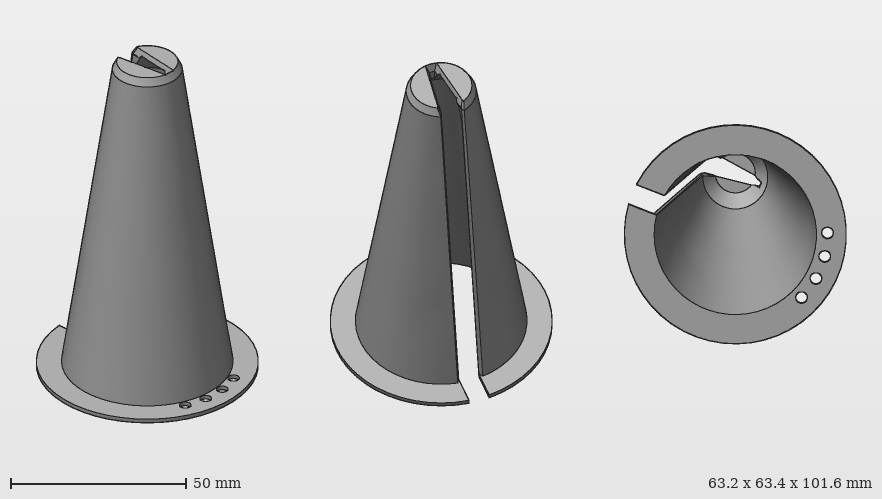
import cadquery as cq
import math

flange_radius = 31.685
flange_thickness = 1.27

total_height = 101.6
cone_base_radius = 24.5
shoulder_height = 99.25
shoulder_radius = 10.0
top_radius = 8.75
wall_thickness = 1.5

cavity_bend_height = 93.95
ceiling_height = total_height - wall_thickness
ceiling_radius = 5.7

slot_half_width = 3.05
mouth_half_width = 4.0
mouth_top_widening = 0.6

taper_start_x = -9.3
taper_end_x = 7.75
taper_end_half_width = 0.8
taper_bottom = cavity_bend_height
top_flare = 0.9

hole_diameter = 3.3
hole_circle_radius = 26.3
hole_pitch_angle = 15.0
hole_count = 4

clearance = 1.0
wall_slope = (cone_base_radius - shoulder_radius) / (shoulder_height - flange_thickness)
wall_run = wall_thickness * math.sqrt(1 + wall_slope**2)


def outer_radius(z):
    """Radius of the main cone's outside at height z."""
    return cone_base_radius - wall_slope * (z - flange_thickness)


def revolved(profile):
    """Solid of revolution about Z from (radius, z) points, with its seam on the slotted -X side."""
    solid = cq.Workplane("XZ").polyline(profile).close().revolve(360, (0, 0), (0, 1))
    return solid.rotate((0, 0, 0), (0, 0, 1), 180)


def lofted(bottom_points, bottom_z, top_points, top_z):
    """Straight-sided solid between two outlines of equal point count."""
    return (
        cq.Workplane("XY", origin=(0, 0, bottom_z))
        .polyline(bottom_points)
        .close()
        .workplane(offset=top_z - bottom_z)
        .polyline(top_points)
        .close()
        .loft(ruled=True)
    )


def make_body():
    return revolved([
        (0, 0),
        (flange_radius, 0),
        (flange_radius, flange_thickness),
        (cone_base_radius, flange_thickness),
        (shoulder_radius, shoulder_height),
        (top_radius, total_height),
        (0, total_height),
    ])


def make_cavity():
    bend_radius = outer_radius(cavity_bend_height) - wall_run
    return revolved([
        (0, 0),
        (outer_radius(0) - wall_run, 0),
        (bend_radius, cavity_bend_height),
        (ceiling_radius, ceiling_height),
        (0, ceiling_height),
    ])


def make_side_slot():
    length = flange_radius + clearance
    return cq.Workplane("XY").box(
        length, 2 * slot_half_width, shoulder_height, centered=(False, True, False)
    ).translate((-length, 0, 0))


def mouth_outline(outer_x, widening=0):
    """Trapezoid across the wall, wide at its outside face outer_x and narrow inside."""
    inner_x = outer_x + wall_run
    outer_half = mouth_half_width + widening
    inner_half = slot_half_width + widening
    return [
        (outer_x - clearance, -outer_half),
        (outer_x, -outer_half),
        (inner_x, -inner_half),
        (inner_x, inner_half),
        (outer_x, outer_half),
        (outer_x - clearance, outer_half),
    ]


def make_mouth_flare():
    at_base = mouth_outline(-cone_base_radius)
    at_shoulder = mouth_outline(-shoulder_radius)
    at_top = mouth_outline(-top_radius, mouth_top_widening)
    along_cone = lofted(at_base, flange_thickness, at_shoulder, shoulder_height)
    along_chamfer = lofted(at_shoulder, shoulder_height, at_top, total_height)
    return along_cone.union(along_chamfer)


def taper_outline(flare):
    """Outline of the tapered top slot, widened on every side by flare."""
    open_x = -shoulder_radius - wall_thickness
    taper_slope = (slot_half_width - taper_end_half_width) / (taper_end_x - taper_start_x)
    open_half = slot_half_width + taper_slope * (taper_start_x - open_x) + flare
    end_half = taper_end_half_width + flare
    end_x = taper_end_x + flare
    return [(open_x, -open_half), (end_x, -end_half), (end_x, end_half), (open_x, open_half)]


def make_top_slot():
    lower = (
        cq.Workplane("XY", origin=(0, 0, taper_bottom))
        .polyline(taper_outline(0))
        .close()
        .extrude(total_height - taper_bottom)
    )
    upper = lofted(taper_outline(0), shoulder_height, taper_outline(top_flare), total_height)
    return lower.union(upper)


def make_flange_holes():
    first_angle = -hole_pitch_angle * (hole_count - 1) / 2
    sweep = hole_pitch_angle * (hole_count - 1)
    return (
        cq.Workplane("XY")
        .polarArray(hole_circle_radius, first_angle, sweep, hole_count)
        .circle(hole_diameter / 2)
        .extrude(flange_thickness)
    )


result = (
    make_body()
    .cut(make_cavity())
    .cut(make_side_slot())
    .cut(make_mouth_flare())
    .cut(make_top_slot())
    .cut(make_flange_holes())
)